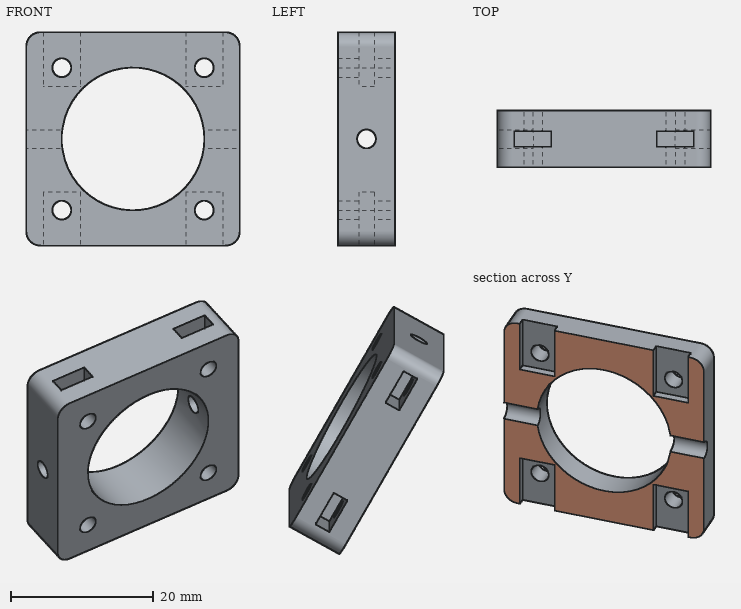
import cadquery as cq

side = 30.0
thickness = 8.0
corner_radius = 2.0
bore_diameter = 20.0
screw_diameter = 2.6
screw_offset = side / 3

pocket_width = 5.2
pocket_thickness = 2.22
pocket_floor = screw_offset - pocket_width / 2
pocket_depth = side / 2 - pocket_floor


def make_frame():
    """Rounded square plate with the central bore."""
    return (
        cq.Workplane("XZ")
        .rect(side, side)
        .extrude(thickness / 2, both=True)
        .edges("|Y")
        .fillet(corner_radius)
        .cut(cq.Workplane("XZ").circle(bore_diameter / 2).extrude(thickness / 2, both=True))
    )


def make_screw_holes():
    """Four screw holes through the plate thickness."""
    return (
        cq.Workplane("XZ")
        .rect(2 * screw_offset, 2 * screw_offset, forConstruction=True)
        .vertices()
        .circle(screw_diameter / 2)
        .extrude(thickness / 2, both=True)
    )


def make_side_hole():
    """Cross hole along X through both side walls."""
    return cq.Workplane("YZ").circle(screw_diameter / 2).extrude(side / 2, both=True)


def make_nut_pocket(x, direction):
    """Pocket at x, open at the top (direction 1) or bottom (direction -1)."""
    middle_height = direction * (side / 2 + pocket_floor) / 2
    return (
        cq.Workplane("XY")
        .box(pocket_width, pocket_thickness, pocket_depth)
        .translate((x, 0, middle_height))
    )


result = make_frame().cut(make_screw_holes()).cut(make_side_hole())
for x in (-screw_offset, screw_offset):
    for direction in (-1, 1):
        result = result.cut(make_nut_pocket(x, direction))